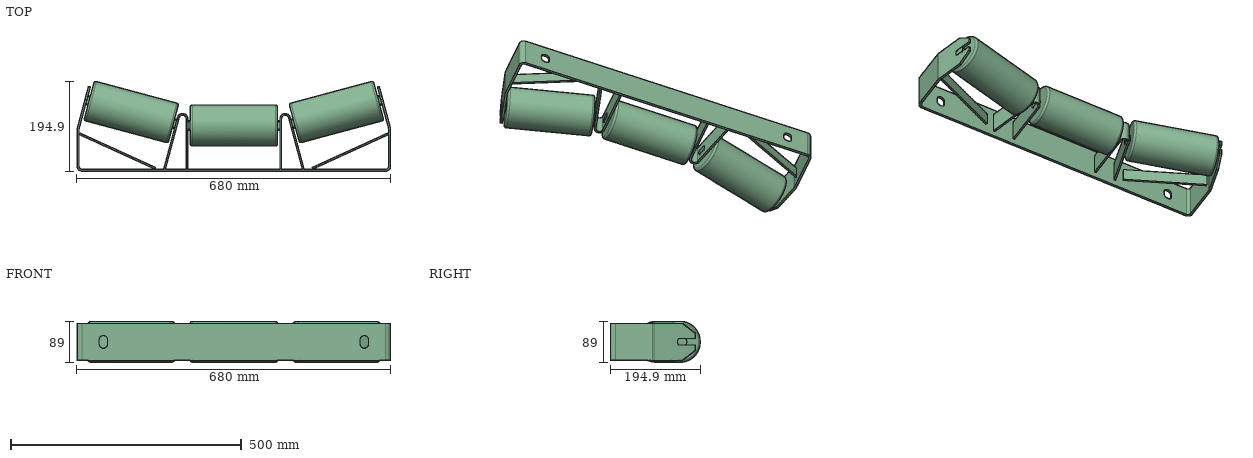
import cadquery as cq
import math

frame_length = 680.0
bar_width = 80.0
frame_thickness = 5.0
corner_radius = 11.0
lean_bend_radius = 15.0
wall_top_y = 184.0
tip_half_width = 19.0
tip_taper_length = 28.5
mount_slot_width = 18.5
mount_slot_height = 27.0
mount_slot_x = 283.0

roller_diameter = 89.0
roller_length = 190.0
roller_fillet = 5.0
side_tilt = 15.0
middle_roller_y = 99.0
side_roller_x = 222.5
side_roller_y = 128.5
axle_diameter = 21.0
axle_flat_width = 14.0
roller_gap = 5.0

bracket_thickness = 4.0
bracket_bend_radius = 11.5
bracket_width = 50.0
brace_thickness = 4.0
brace_width = 30.0
brace_foot_x = 171.5
brace_angle = 24.5

half_length = frame_length / 2
support_distance = roller_length / 2 + roller_gap
tilt = math.radians(side_tilt)
tilt_cos = math.cos(tilt)
tilt_sin = math.sin(tilt)


def side_point(along, across):
    """Point in the right roller's tilted axes: along its axis (outward) and across it (up)."""
    return (
        side_roller_x + along * tilt_cos - across * tilt_sin,
        side_roller_y + along * tilt_sin + across * tilt_cos,
    )


def meeting_y(upright_x, along):
    """Height where the vertical plane at upright_x meets the leaning plane at this distance along the axis."""
    return side_roller_y + (along - (upright_x - side_roller_x) * tilt_cos) / tilt_sin


def leaning_point(along, y):
    """Point at height y on the leaning face at the given distance along the roller axis."""
    return side_point(along, (y - side_roller_y - along * tilt_sin) / tilt_cos)


def mirrored(solid):
    """Copy on the opposite side in X."""
    return solid.mirror("YZ")


def place_on_side(solid):
    """Move a solid from the origin to the right roller's centre and tilt."""
    tilted = solid.rotate((0, 0, 0), (0, 0, 1), side_tilt)
    return tilted.translate((side_roller_x, side_roller_y, 0))


def extrude_bar(outline, width):
    """Close an XY outline and extrude it to the given width, centred on Z = 0."""
    return outline.close().extrude(width / 2, both=True)


def round_bar(diameter, start, end):
    """Cylinder along X from start to end."""
    return cq.Workplane("YZ").workplane(offset=start).circle(diameter / 2).extrude(end - start)


def axle_with_flats(start, end):
    """Axle along X, flattened on its two Z sides."""
    end_plane = cq.Workplane("YZ").workplane(offset=start)
    flats = end_plane.rect(axle_diameter, axle_flat_width).extrude(end - start)
    return round_bar(axle_diameter, start, end).intersect(flats)


def make_roller(left_support, right_support):
    """Roller along X, its axle ends flush with the far faces of supports of the given thicknesses."""
    shell = round_bar(roller_diameter, -roller_length / 2, roller_length / 2)
    shell = shell.faces("<X or >X").edges().fillet(roller_fillet)
    axle = axle_with_flats(-support_distance - left_support, support_distance + right_support)
    return shell.union(axle)


middle_roller = make_roller(bracket_thickness, bracket_thickness).translate((0, middle_roller_y, 0))
right_roller = place_on_side(make_roller(bracket_thickness, frame_thickness))
rollers = [middle_roller, right_roller, mirrored(right_roller)]


def make_frame():
    """Right half from an extruded profile with rounded bends and cuts, joined to its mirror image."""
    outer_along = support_distance + frame_thickness
    inner_x = half_length - frame_thickness
    outer_bend_y = meeting_y(half_length, outer_along)
    inner_bend_y = meeting_y(inner_x, support_distance)
    outer_tip = leaning_point(outer_along, wall_top_y)
    tip_across = (wall_top_y - side_roller_y - outer_along * tilt_sin) / tilt_cos
    inner_tip = side_point(support_distance, tip_across)

    outline = (
        cq.Workplane("XY")
        .moveTo(0, 0)
        .lineTo(half_length, 0)
        .lineTo(half_length, outer_bend_y)
        .lineTo(*outer_tip)
        .lineTo(*inner_tip)
        .lineTo(inner_x, inner_bend_y)
        .lineTo(inner_x, frame_thickness)
        .lineTo(0, frame_thickness)
    )
    half = extrude_bar(outline, bar_width)

    def fillet_at(solid, x, y, radius):
        return solid.edges(cq.selectors.NearestToPointSelector((x, y, 0))).fillet(radius)

    half = fillet_at(half, half_length, 0, corner_radius)
    half = fillet_at(half, inner_x, frame_thickness, corner_radius - frame_thickness)
    half = fillet_at(half, half_length, outer_bend_y, lean_bend_radius)
    half = fillet_at(half, inner_x, inner_bend_y, lean_bend_radius - frame_thickness)

    half = half.cut(tip_tapers(tip_across)).cut(axle_slot(tip_across)).cut(mount_slot())
    return half.union(mirrored(half))


def tip_tapers(tip_across):
    """Wedges that narrow the leaning wall towards its tip."""
    half_width = bar_width / 2
    wedge = (
        cq.Workplane("YZ")
        .moveTo(tip_across, half_width)
        .lineTo(tip_across, tip_half_width)
        .lineTo(tip_across - tip_taper_length, half_width)
        .close()
        .extrude(support_distance + 2 * frame_thickness)
    )
    return place_on_side(wedge.union(wedge.mirror("XY")))


def axle_slot(tip_across):
    """Slot open at the wall's tip, its closed end matching the axle."""
    depth = support_distance + 2 * frame_thickness
    channel = cq.Workplane("XY").box(depth, tip_across, axle_flat_width, centered=(False, False, True))
    return place_on_side(channel.union(axle_with_flats(0, depth)))


def mount_slot():
    """Upright fixing slot through the frame's base."""
    return (
        cq.Workplane("XZ")
        .center(mount_slot_x, 0)
        .slot2D(mount_slot_height, mount_slot_width, 90)
        .extrude(frame_thickness, both=True)
    )


frame = make_frame()


def make_bracket():
    """Hairpin with an upright leg by the middle roller and a leaning leg by the right roller."""
    bend_x = support_distance + bracket_bend_radius
    bend_along = -support_distance - bracket_bend_radius
    bend_y = meeting_y(bend_x, bend_along)
    crown = (math.pi + tilt) / 2

    def on_bend(radius, angle):
        return (bend_x + radius * math.cos(angle), bend_y + radius * math.sin(angle))

    outer = bracket_bend_radius
    inner = outer - bracket_thickness
    outline = (
        cq.Workplane("XY")
        .moveTo(bend_x - outer, frame_thickness)
        .lineTo(*on_bend(outer, math.pi))
        .threePointArc(on_bend(outer, crown), on_bend(outer, tilt))
        .lineTo(*leaning_point(bend_along + outer, frame_thickness))
        .lineTo(*leaning_point(bend_along + inner, frame_thickness))
        .lineTo(*on_bend(inner, tilt))
        .threePointArc(on_bend(inner, crown), on_bend(inner, math.pi))
        .lineTo(bend_x - inner, frame_thickness)
    )
    bracket = extrude_bar(outline, bracket_width)
    return bracket.cut(middle_roller).cut(right_roller)


right_bracket = make_bracket()
brackets = [right_bracket, mirrored(right_bracket)]


def make_brace():
    """Sloping strip from the frame's base, square-cut at the foot, to its upright wall."""
    slope = math.radians(brace_angle)
    wall_x = half_length - frame_thickness
    foot_top_x = brace_foot_x - brace_thickness * math.sin(slope)
    foot_top_y = frame_thickness + brace_thickness * math.cos(slope)
    outline = (
        cq.Workplane("XY")
        .moveTo(brace_foot_x, frame_thickness)
        .lineTo(wall_x, frame_thickness + (wall_x - brace_foot_x) * math.tan(slope))
        .lineTo(wall_x, foot_top_y + (wall_x - foot_top_x) * math.tan(slope))
        .lineTo(foot_top_x, foot_top_y)
    )
    return extrude_bar(outline, brace_width)


right_brace = make_brace()
braces = [right_brace, mirrored(right_brace)]

bodies = [frame, *rollers, *brackets, *braces]
result = cq.Compound.makeCompound([body.val() for body in bodies])